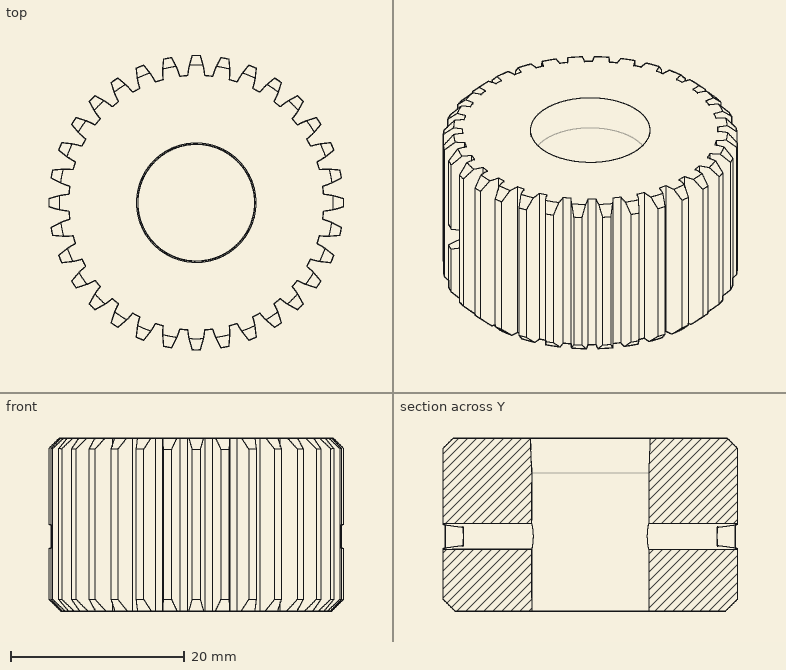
import cadquery as cq
import math

width = 20.0
tip_radius = 17.0
pitch_radius = 15.98
root_radius = 14.72
tooth_count = 32

tip_half_thickness = 0.48
pitch_half_thickness = 0.78
root_half_thickness = 1.0

top_chamfer = 1.2
bottom_chamfer = 1.4
top_chamfer_shift = 0.1

bore_radius = 6.73
bore_mouth_radius = 6.9
bore_taper_depth = 4.0

pin_hole_diameter = 2.9
pin_hole_height = 8.65


def polar(radius, angle):
    return (radius * math.cos(angle), radius * math.sin(angle))


def flank_point(radius, half_thickness, center_angle, side):
    """Point on a tooth flank; side is -1 or +1 about the tooth centerline."""
    return polar(radius, center_angle + side * math.asin(half_thickness / radius))


def tooth_flank(center_angle, side):
    """Root, pitch and tip points of one flank."""
    return (
        flank_point(root_radius, root_half_thickness, center_angle, side),
        flank_point(pitch_radius, pitch_half_thickness, center_angle, side),
        flank_point(tip_radius, tip_half_thickness, center_angle, side),
    )


def toothed_blank():
    pitch_angle = 2 * math.pi / tooth_count
    first_root, _, _ = tooth_flank(0, -1)
    outline = cq.Workplane("XY").moveTo(*first_root)
    for tooth in range(tooth_count):
        angle = tooth * pitch_angle
        _, rising_pitch, rising_tip = tooth_flank(angle, -1)
        falling_root, falling_pitch, falling_tip = tooth_flank(angle, 1)
        next_root, _, _ = tooth_flank(angle + pitch_angle, -1)
        gap_middle = polar(root_radius, angle + pitch_angle / 2)
        outline = (
            outline.threePointArc(rising_pitch, rising_tip)
            .threePointArc(polar(tip_radius, angle), falling_tip)
            .threePointArc(falling_pitch, falling_root)
            .threePointArc(gap_middle, next_root)
        )
    return outline.close().extrude(width)


def bottom_chamfer_envelope():
    """Solid that bounds the gear with its bottom chamfer cone."""
    return cq.Workplane("XY").circle(tip_radius).extrude(width).faces("<Z").chamfer(bottom_chamfer)


def top_chamfer_envelope():
    """Cone wide enough to touch only the top ends of the teeth."""
    top_face_radius = tip_radius - top_chamfer
    cone = cq.Solid.makeCone(top_face_radius + width, top_face_radius, width)
    return cq.Workplane(obj=cone).translate((0, top_chamfer_shift, 0))


def bore():
    straight_depth = width - bore_taper_depth
    half_section = [
        (0, 0),
        (bore_radius, 0),
        (bore_radius, straight_depth),
        (bore_mouth_radius, width),
        (0, width),
    ]
    return cq.Workplane("XZ").polyline(half_section).close().revolve(360, (0, 0, 0), (0, 1, 0))


def pin_hole():
    return (
        cq.Workplane("YZ")
        .center(0, pin_hole_height)
        .circle(pin_hole_diameter / 2)
        .extrude(tip_radius, both=True)
    )


gear = toothed_blank()
gear = gear.intersect(bottom_chamfer_envelope())
gear = gear.intersect(top_chamfer_envelope())
result = gear.cut(bore()).cut(pin_hole())